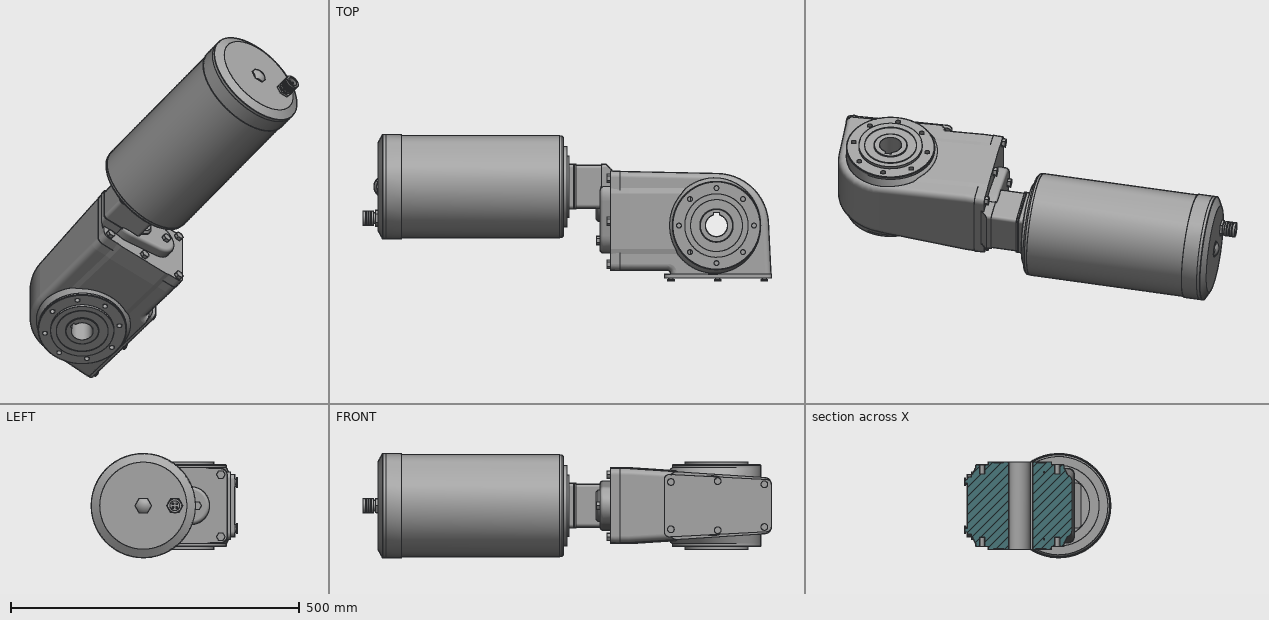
import cadquery as cq
import math


total_length = 708.5
total_width = 253.7
motor_cap_dia = 181.0
motor_axis_y = 67.4
foot_end_x = 95.6
connector_tip_x = foot_end_x - total_length
foot_screw_bottom_y = motor_axis_y + motor_cap_dia / 2 - total_width

motor_front_x = -587.0
cap_chamfer_length = 8.0
cap_face_dia = 151.0
cap_band_dia = 180.98
cap_band_start_x = -578.0
cap_band_end_x = -573.0
cap_end_x = -546.0
motor_body_dia = 178.0
shield_start_x = -272.0
shield_end_x = -265.0
shield_step = 0.8
shield_chamfer = 3.0
rear_boss_dia = 140.0
rear_boss_end_x = -258.8
rear_step_dia = 107.0
rear_step_end_x = -255.5

connector_y = 12.8
connector_dia = 25.0
connector_neck_dia = 19.0
connector_body_length = 18.5
connector_groove_width = 1.5
connector_groove_depth = 1.2
connector_groove_pitch = 4.5
connector_groove_count = 3
connector_nut_flats = 24.5
connector_nut_height = 4.0
socket_dia = 17.0
socket_depth = 8.0
pin_dia = 3.0
pin_circle_dia = 9.0
pin_count = 4
pin_start_angle = 45.0
plug_flats = 25.0
plug_height = 7.0

neck_size = 75.0
neck_corner_radius = 6.0
collar_size = 78.0
collar_groove_x = -247.5
collar_groove_width = 1.5
collar_end_x = -243.4
neck_end_x = -179.0
neck_lip_size = 78.0
neck_lip_length = 20.0
neck_chamfer = 12.5

cover_face_x = -202.0
cover_big_radius = 43.0
cover_small_radius = 33.0
cover_big_y = motor_axis_y - 18.0
cover_end_y = motor_axis_y - 115.0
cover_edge_radius = 6.0
cover_boss_face_x = -209.0
cover_boss_radius = 28.0
cover_boss_y = motor_axis_y - 32.0
cover_boss_chamfer = 4.0
cover_bolt_y = -26.0

flange_x = -184.0
flange_seam_x = -150.0
flange_plate_end_x = -167.0
flange_plate_margin = 0.6
flange_plate_draft = 2.0
housing_top_draft = 1.2
housing_end_draft = 2.8
housing_end_radius = 90.5
housing_bottom_y = -77.6
housing_half_height = 64.0
housing_end_half_height = 48.0
housing_edge_radius = 11.0
foot_riser_x = -80.0
foot_riser_fillet = 5.0
panel_top_y = 64.4
panel_bottom_y = -50.0
panel_rise = 2.0
panel_end_x = -45.0
panel_bevel = 9.0

foot_bottom_y = -91.2
foot_thickness = 7.2
foot_start_x = -90.5
foot_start_half_height = 54.6
foot_end_half_height = 44.8
foot_corner_radius = 9.0
foot_screw_dia = 11.6
foot_screw_neck_dia = 8.0
foot_screw_head_height = 2.0
foot_screws = [(-79.0, 41.0), (2.0, 42.6), (83.0, 37.0)]

output_half_height = 76.0
output_rim_dia = 110.0
output_flange_dia = 153.5
output_flange_half_height = 71.0
output_flange_chamfer = 1.2
flare_top_half_height = 66.0
flare_base_half_height = 50.0
flare_base_dia = 170.0
output_recess_dia = 90.0
output_recess_depth = 1.5
hub_dia = 58.0
hub_chamfer = 1.0
bore_dia = 38.0
key_width = 10.0
key_top = 22.3
flange_hole_dia = 8.38
flange_hole_circle_dia = 130.0
flange_hole_depth = 16.0
flange_hole_count = 8

bolt_flats = 13.0
bolt_head_height = 6.0
housing_bolt_ys = [82.3, 7.7, -67.0]
housing_bolt_z = 54.0


def face_plane(x, y=0.0, z=0.0):
    """Plane facing -X; its local x runs along +Y and its local y along -Z."""
    return cq.Plane(origin=(x, y, z), xDir=(0, 1, 0), normal=(-1, 0, 0))


def rod(dia, x_start, x_end, y):
    """Cylinder along X."""
    return cq.Workplane(face_plane(x_end, y)).circle(dia / 2).extrude(x_end - x_start)


def hex_prism(flats, x_start, x_end, y, z=0.0):
    """Hexagonal prism along X with two corners on the Y direction."""
    corner_dia = flats / math.cos(math.pi / 6)
    return cq.Workplane(face_plane(x_end, y, z)).polygon(6, corner_dia).extrude(x_end - x_start)


def square_bar(size, x_start, x_end):
    """Square bar along the motor axis with rounded long edges."""
    bar = cq.Workplane(face_plane(x_end, motor_axis_y)).rect(size, size).extrude(x_end - x_start)
    return bar.edges("|X").fillet(neck_corner_radius)


def make_motor():
    """Turned motor outline about its own axis."""
    outline = [
        (motor_front_x, 0),
        (motor_front_x, cap_face_dia / 2),
        (motor_front_x + cap_chamfer_length, motor_cap_dia / 2),
        (cap_band_start_x, motor_cap_dia / 2),
        (cap_band_start_x, cap_band_dia / 2),
        (cap_band_end_x, cap_band_dia / 2),
        (cap_band_end_x, motor_cap_dia / 2),
        (cap_end_x, motor_cap_dia / 2),
        (cap_end_x, motor_body_dia / 2),
        (shield_start_x, motor_body_dia / 2),
        (shield_start_x, motor_body_dia / 2 - shield_step),
        (shield_end_x - shield_chamfer, motor_body_dia / 2 - shield_step),
        (shield_end_x, motor_body_dia / 2 - shield_step - shield_chamfer),
        (shield_end_x, rear_boss_dia / 2),
        (rear_boss_end_x, rear_boss_dia / 2),
        (rear_boss_end_x, rear_step_dia / 2),
        (rear_step_end_x, rear_step_dia / 2),
        (rear_step_end_x, 0),
    ]
    profile = cq.Workplane("XY").polyline(outline).close()
    return profile.revolve(360, (0, 0, 0), (1, 0, 0)).translate((0, motor_axis_y, 0))


def make_connector():
    """Round plug connector with coupling grooves, a pin socket and a hexagon base nut."""
    body_end_x = connector_tip_x + connector_body_length
    body = rod(connector_dia, connector_tip_x, body_end_x, connector_y)
    for index in range(connector_groove_count):
        groove_x = connector_tip_x + connector_groove_pitch * (index + 1)
        groove_end_x = groove_x + connector_groove_width
        core_dia = connector_dia - 2 * connector_groove_depth
        ring = rod(connector_dia, groove_x, groove_end_x, connector_y)
        body = body.cut(ring.cut(rod(core_dia, groove_x, groove_end_x, connector_y)))
    socket_end_x = connector_tip_x + socket_depth
    body = body.cut(rod(socket_dia, connector_tip_x, socket_end_x, connector_y))
    pins = cq.Workplane(face_plane(socket_end_x, connector_y))
    pins = pins.polarArray(pin_circle_dia / 2, pin_start_angle, 360, pin_count).circle(pin_dia / 2)
    body = body.union(pins.extrude(socket_depth / 2))
    neck = rod(connector_neck_dia, body_end_x, motor_front_x, connector_y)
    nut_start_x = motor_front_x - connector_nut_height
    nut = hex_prism(connector_nut_flats, nut_start_x, motor_front_x, connector_y)
    return body.union(neck).union(nut)


def make_plug():
    """Hexagon plug on the motor axis with a domed top."""
    hexagon = hex_prism(plug_flats, motor_front_x - plug_height, motor_front_x, motor_axis_y)
    corner_radius = plug_flats / math.sqrt(3)
    dome_radius = (corner_radius ** 2 + plug_height ** 2) / (2 * plug_height)
    dome_center_x = motor_front_x - plug_height + dome_radius
    dome = cq.Workplane("XY").sphere(dome_radius).translate((dome_center_x, motor_axis_y, 0))
    return hexagon.intersect(dome)


def make_neck():
    """Square adapter with a grooved collar and a chamfered lip at the gearbox."""
    neck = square_bar(neck_size, rear_step_end_x, neck_end_x)
    neck = neck.union(square_bar(collar_size, rear_step_end_x, collar_groove_x))
    neck = neck.union(square_bar(collar_size, collar_groove_x + collar_groove_width, collar_end_x))
    lip = square_bar(neck_lip_size, neck_end_x - neck_lip_length, neck_end_x)
    lip_top_y = motor_axis_y + neck_lip_size / 2
    corner = cq.Workplane("XY").polyline(
        [
            (neck_end_x, lip_top_y),
            (neck_end_x - neck_chamfer, lip_top_y),
            (neck_end_x, lip_top_y - neck_chamfer),
        ]
    )
    corner = corner.close().extrude(neck_lip_size, both=True)
    return neck.union(lip).cut(corner)


def make_cover():
    """Bearing cover: two circles of different size joined by their tangents, plus a round boss."""
    reach = cover_big_y - cover_end_y - cover_small_radius
    slope = (cover_big_radius - cover_small_radius) / reach
    spread = math.sqrt(1 - slope ** 2)

    def tangent_point(center, radius, side):
        return (center - radius * slope, side * radius * spread)

    outline = (
        cq.Workplane(face_plane(flange_x, cover_big_y))
        .moveTo(*tangent_point(0, cover_big_radius, 1))
        .lineTo(*tangent_point(-reach, cover_small_radius, 1))
        .threePointArc((-reach - cover_small_radius, 0), tangent_point(-reach, cover_small_radius, -1))
        .lineTo(*tangent_point(0, cover_big_radius, -1))
        .threePointArc((cover_big_radius, 0), tangent_point(0, cover_big_radius, 1))
        .close()
    )
    cover = outline.extrude(flange_x - cover_face_x)
    cover = cover.faces("<X").edges().fillet(cover_edge_radius)
    boss = rod(2 * cover_boss_radius, cover_boss_face_x, flange_x, cover_boss_y)
    boss = boss.faces("<X").edges().chamfer(cover_boss_chamfer)
    bolt = hex_prism(bolt_flats, cover_face_x - bolt_head_height, cover_face_x, cover_bolt_y)
    return cover.union(boss).union(bolt)


def height_wedge(start_half_height, end_half_height):
    """Block that limits Z: constant behind the flange, then tapering toward the foot end."""
    outline = [
        (flange_x, -start_half_height),
        (flange_x, start_half_height),
        (flange_seam_x, start_half_height),
        (foot_end_x, end_half_height),
        (foot_end_x, -end_half_height),
        (flange_seam_x, -start_half_height),
    ]
    return cq.Workplane("XZ").polyline(outline).close().extrude(total_width, both=True)


def is_rim(edge):
    """True for the long edges where a side of the housing meets its outer walls."""
    slack = 1.0
    on_side = abs(edge.Center().z) > housing_end_half_height - housing_edge_radius
    runs_along_x = abs(edge.endPoint().x - edge.startPoint().x) > slack
    above_foot = edge.Center().y > housing_bottom_y - slack
    return on_side and runs_along_x and above_foot


def housing_top_y_at(x):
    """Y of the drafted outer wall that runs from the flange into the rounded end."""
    draft = math.radians(housing_top_draft)
    return (housing_end_radius - x * math.sin(draft)) / math.cos(draft)


def make_housing():
    """Gear housing with a rounded end, tapered in Z, standing on the foot riser."""
    top_draft = math.radians(housing_top_draft)
    end_draft = math.radians(housing_end_draft)
    radius = housing_end_radius
    mid_angle = math.pi / 4
    foot_top_y = foot_bottom_y + foot_thickness
    foot_x = (radius - foot_top_y * math.sin(end_draft)) / math.cos(end_draft)
    outline = (
        cq.Workplane("XY")
        .workplane(offset=-housing_half_height)
        .moveTo(flange_x, housing_bottom_y)
        .lineTo(flange_x, housing_top_y_at(flange_x))
        .lineTo(radius * math.sin(top_draft), radius * math.cos(top_draft))
        .threePointArc(
            (radius * math.cos(mid_angle), radius * math.sin(mid_angle)),
            (radius * math.cos(end_draft), radius * math.sin(end_draft)),
        )
        .lineTo(foot_x, foot_top_y)
        .lineTo(foot_riser_x, foot_top_y)
        .lineTo(foot_riser_x, housing_bottom_y - foot_riser_fillet)
        .radiusArc((foot_riser_x - foot_riser_fillet, housing_bottom_y), -foot_riser_fillet)
        .close()
    )
    body = outline.extrude(2 * housing_half_height)
    body = body.intersect(height_wedge(housing_half_height, housing_end_half_height))
    rims = [edge for edge in body.edges().vals() if is_rim(edge)]
    return body.newObject(rims).fillet(housing_edge_radius)


def make_panel():
    """Raised, bevelled panels on both sides of the housing, following the same taper."""
    taper = (housing_half_height - housing_end_half_height) / (foot_end_x - flange_seam_x)
    panel_end_half_height = housing_half_height - taper * (panel_end_x - flange_seam_x)

    def section(x, side_half_height):
        raised = side_half_height + panel_rise
        upper_half = [
            (panel_bottom_y, side_half_height),
            (panel_bottom_y + panel_bevel, raised),
            (panel_top_y - panel_bevel, raised),
            (panel_top_y, side_half_height),
        ]
        lower_half = [(y, -z) for y, z in reversed(upper_half)]
        return cq.Wire.makePolygon([cq.Vector(x, y, z) for y, z in upper_half + lower_half], close=True)

    flange_part = [section(flange_x, housing_half_height), section(flange_seam_x, housing_half_height)]
    taper_part = [flange_part[1], section(panel_end_x, panel_end_half_height)]
    panel = cq.Workplane(cq.Solid.makeLoft(flange_part, True))
    return panel.union(cq.Workplane(cq.Solid.makeLoft(taper_part, True)))


def make_flange_plate():
    """Drafted plate of the gearbox flange, standing slightly proud of the housing."""
    top_y = housing_top_y_at(flange_plate_end_x) + flange_plate_margin
    bottom_y = housing_bottom_y - flange_plate_margin
    height = 2 * (housing_half_height + flange_plate_margin)
    plane = face_plane(flange_plate_end_x, (top_y + bottom_y) / 2)
    plate = cq.Workplane(plane).sketch().rect(top_y - bottom_y, height).vertices()
    plate = plate.fillet(housing_edge_radius).finalize()
    return plate.extrude(flange_plate_end_x - flange_x, taper=flange_plate_draft)


def make_flange_bolts():
    """Hexagon bolt heads along both long edges of the gearbox flange."""
    bolts = cq.Workplane()
    for y in housing_bolt_ys:
        for z in (-housing_bolt_z, housing_bolt_z):
            bolts = bolts.add(hex_prism(bolt_flats, flange_x - bolt_head_height, flange_x, y, z))
    return bolts.combine()


def make_foot():
    """Tapered foot plate with rounded corners and the screw heads under it."""
    outline = [
        (foot_start_x, -foot_start_half_height),
        (foot_start_x, foot_start_half_height),
        (foot_end_x, foot_end_half_height),
        (foot_end_x, -foot_end_half_height),
    ]
    plane = cq.Workplane("XZ", origin=(0, foot_bottom_y, 0))
    plate = plane.polyline(outline).close().extrude(-foot_thickness)
    plate = plate.edges("|Y").fillet(foot_corner_radius)
    screws = [(x, side * z) for x, z in foot_screws for side in (-1, 1)]
    necks = plane.pushPoints(screws).circle(foot_screw_neck_dia / 2)
    necks = necks.extrude(foot_bottom_y - foot_screw_bottom_y)
    head_plane = cq.Workplane("XZ", origin=(0, foot_screw_bottom_y, 0))
    heads = head_plane.pushPoints(screws).circle(foot_screw_dia / 2).extrude(-foot_screw_head_height)
    return plate.union(necks).union(heads)


def make_output_flange():
    """Upper output flange as a turned body: flange, rim, recess and hub, with a flare into the housing.

    The flare leans toward the motor, so it runs out at the far end of the flange.
    """
    recess_z = output_half_height - output_recess_depth
    outline = [
        (0, 0),
        (output_flange_dia / 2, 0),
        (output_flange_dia / 2, output_flange_half_height - output_flange_chamfer),
        (output_flange_dia / 2 - output_flange_chamfer, output_flange_half_height),
        (output_rim_dia / 2, output_flange_half_height),
        (output_rim_dia / 2, output_half_height),
        (output_recess_dia / 2, output_half_height),
        (output_recess_dia / 2, recess_z),
        (hub_dia / 2, recess_z),
        (hub_dia / 2, output_half_height - hub_chamfer),
        (hub_dia / 2 - hub_chamfer, output_half_height),
        (0, output_half_height),
    ]
    flange = cq.Workplane("XZ").polyline(outline).close().revolve(360, (0, 0, 0), (0, 1, 0))
    holes = (
        cq.Workplane("XY")
        .workplane(offset=output_flange_half_height)
        .polarArray(flange_hole_circle_dia / 2, 0, 360, flange_hole_count)
        .circle(flange_hole_dia / 2)
        .extrude(-flange_hole_depth)
    )
    flare = (
        cq.Workplane("XY")
        .workplane(offset=flare_base_half_height)
        .center(-(flare_base_dia - output_flange_dia) / 2, 0)
        .circle(flare_base_dia / 2)
        .workplane(offset=flare_top_half_height - flare_base_half_height)
        .center((flare_base_dia - output_flange_dia) / 2, 0)
        .circle(output_flange_dia / 2)
        .loft(ruled=True)
    )
    return flange.union(flare).cut(holes)


def make_bore():
    """Through bore with its keyway on the +Y side."""
    base = cq.Workplane("XY").workplane(offset=-output_half_height)
    bore = base.circle(bore_dia / 2).extrude(2 * output_half_height)
    key = base.center(0, key_top / 2).rect(key_width, key_top).extrude(2 * output_half_height)
    return bore.union(key)


output_flange = make_output_flange()
result = (
    make_motor()
    .union(make_connector())
    .union(make_plug())
    .union(make_neck())
    .union(make_housing())
    .union(make_panel())
    .union(make_flange_plate())
    .union(make_cover())
    .union(make_flange_bolts())
    .union(make_foot())
    .union(output_flange)
    .union(output_flange.mirror("XY"))
    .cut(make_bore())
)